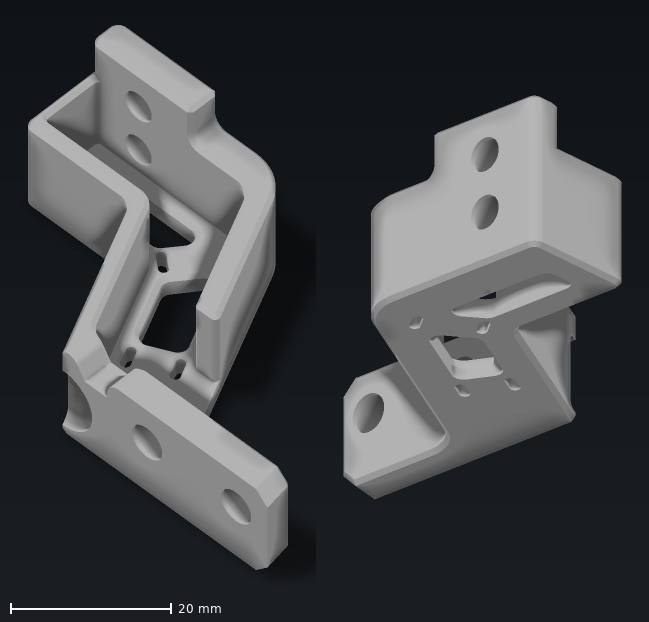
import cadquery as cq
import math

total_length = 66.0
total_depth = 41.0
total_height = 21.0
wall_height = 15.0
floor_thickness = 3.0
edge_chamfer = 0.6

foot_thickness = 5.0
foot_end_draft = 10.0
foot_end_chamfer = 2.0
foot_hole_diameter = 5.3
foot_hole_height = 9.05
foot_hole_spacing = 15.5
foot_first_hole_x = 45.0

notch_left = 34.2
notch_right = 38.1
notch_depth = 3.0
notch_slope_run = 1.85
notch_fillet = 2.0

recess_diameter = 10.0
recess_x = 30.4
recess_height = 6.15
recess_depth = 2.0
recess_fillet = 1.0

leg_angle = 25.8
leg_start = 30.3
leg_width = 16.75
leg_left_wall = 2.5
leg_right_wall = 3.5
right_wall_end = 17.0

arm_depth = 16.95
arm_front_wall = 2.5
arm_left_wall = 1.4
arm_back_wall = 5.0

arm_corner_radius = 1.5
outer_bend_radius = 8.0
inner_bend_radius = 3.5
front_bend_radius = 2.8
front_pocket_bend_radius = 3.5
gusset_radius = 6.0
pocket_foot_radius = 2.5
pocket_corner_radius = 0.5
wall_end_radius = 0.7

tab_length = 17.5
tab_foot_radius = 1.5
tab_overlap = 2.0
back_hole_diameter = 4.6
back_hole_x = 8.45
back_hole_spacing = 8.0

opening_radius = 1.5
opening_chamfer = 0.65
arm_opening_left = 4.35
arm_opening_front = 28.65
arm_opening_back = 33.9
arm_opening_front_right = 18.7
arm_opening_back_right = 22.8
leg_opening_left = 4.6
leg_opening_right = 11.15
leg_opening_start = 15.0
leg_opening_left_end = 25.6
leg_opening_right_end = 29.0

slot_width = 1.4
slot_length = 3.55
slot_chamfer = 0.3
leg_slot_position = 12.1
bend_slot_angle = -38.0
bend_slots = [(26.35, 34.0), (21.05, 27.3)]

pick_margin = 0.05

slant = math.tan(math.radians(leg_angle))
leg_cos = math.cos(math.radians(leg_angle))
arm_front = total_depth - arm_depth
pocket_front = arm_front + arm_front_wall
pocket_back = total_depth - arm_back_wall


def leg_x(offset, y):
    """X at depth y on the line parallel to the leg, offset across it from its outer left face."""
    return leg_start + offset / leg_cos - y * slant


def round_corner(solid, corner, radius):
    """Fillet the vertical edge that stands at the given plan point."""
    x, y = corner
    probe = cq.selectors.BoxSelector(
        (x - pick_margin, y - pick_margin, 0), (x + pick_margin, y + pick_margin, total_height)
    )
    return solid.edges("|Z").edges(probe).fillet(radius)


def make_outer_block():
    front_bend = (leg_x(0, arm_front), arm_front)
    back_bend = (leg_x(leg_width, total_depth), total_depth)
    gusset = (leg_x(leg_width, foot_thickness), foot_thickness)
    foot_end = total_length - foot_thickness * math.tan(math.radians(foot_end_draft))
    outline = [
        (leg_start, 0),
        (total_length, 0),
        (foot_end, foot_thickness),
        gusset,
        back_bend,
        (0, total_depth),
        (0, arm_front),
        front_bend,
    ]
    block = cq.Workplane("XY").polyline(outline).close().extrude(wall_height)
    block = round_corner(block, gusset, gusset_radius)
    block = round_corner(block, back_bend, outer_bend_radius)
    block = round_corner(block, front_bend, front_bend_radius)
    for y in (arm_front, total_depth):
        block = round_corner(block, (0, y), arm_corner_radius)
    return block


def make_pocket():
    """Space above the floor, open to the right between the foot and the end of the right wall."""
    inner_face = leg_width - leg_right_wall
    front_bend = (leg_x(leg_left_wall, pocket_front), pocket_front)
    foot_corner = (leg_x(leg_left_wall, foot_thickness), foot_thickness)
    wall_end = (leg_x(inner_face, right_wall_end), right_wall_end)
    back_bend = (leg_x(inner_face, pocket_back), pocket_back)
    outline = [
        (arm_left_wall, pocket_front),
        front_bend,
        foot_corner,
        (total_length, foot_thickness),
        (total_length, right_wall_end),
        wall_end,
        back_bend,
        (arm_left_wall, pocket_back),
    ]
    pocket = (
        cq.Workplane("XY")
        .workplane(offset=floor_thickness)
        .polyline(outline)
        .close()
        .extrude(wall_height)
    )
    pocket = round_corner(pocket, front_bend, front_pocket_bend_radius)
    pocket = round_corner(pocket, foot_corner, pocket_foot_radius)
    pocket = round_corner(pocket, wall_end, wall_end_radius)
    pocket = round_corner(pocket, back_bend, inner_bend_radius)
    for y in (pocket_front, pocket_back):
        pocket = round_corner(pocket, (arm_left_wall, y), pocket_corner_radius)
    return pocket


def cut_notch(body):
    """Cut the notch with one sloping side and round the tops of both sides."""
    floor = wall_height - notch_depth
    left_top = notch_left - notch_slope_run
    outline = [
        (notch_left, floor),
        (notch_right, floor),
        (notch_right, wall_height),
        (left_top, wall_height),
    ]
    notch = cq.Workplane("XZ").polyline(outline).close().extrude(-foot_thickness)
    body = body.cut(notch)
    for x in (left_top, notch_right):
        rim = cq.selectors.NearestToPointSelector((x, foot_thickness / 2, wall_height))
        body = body.edges("|Y").edges(rim).fillet(notch_fillet)
    return body


def chamfer_foot_end(body):
    for z in (0, wall_height):
        end = cq.selectors.NearestToPointSelector((total_length, foot_thickness / 2, z))
        body = body.edges(end).chamfer(foot_end_chamfer)
    return body


def bevel_edges(body):
    """Break the top and bottom rims and the back edges of the foot, leaving the front face sharp."""
    near_y = foot_thickness - pick_margin
    far_y = total_depth + pick_margin
    top_start = wall_height - notch_depth - pick_margin
    bottom_end = foot_end_chamfer / 2 + pick_margin
    foot_end_start = foot_first_hole_x + foot_hole_spacing

    top_rim = cq.selectors.BoxSelector((-pick_margin, near_y, top_start), (total_length, far_y, total_height))
    bottom_rim = cq.selectors.BoxSelector((-pick_margin, near_y, -pick_margin), (total_length, far_y, bottom_end))
    foot_end = cq.selectors.BoxSelector(
        (foot_end_start, near_y, 0), (total_length, foot_thickness + pick_margin, wall_height)
    )
    return body.edges(top_rim + bottom_rim + foot_end).chamfer(edge_chamfer)


def make_tab():
    """Raised tab with a concave foot; its lower part overlaps the back wall."""
    tab_foot = tab_length + tab_foot_radius
    bottom = wall_height - tab_overlap
    tab = (
        cq.Workplane("XZ", origin=(0, pocket_back, 0))
        .moveTo(0, bottom)
        .lineTo(tab_foot, bottom)
        .lineTo(tab_foot, wall_height)
        .radiusArc((tab_length, wall_height + tab_foot_radius), tab_foot_radius)
        .lineTo(tab_length, total_height)
        .lineTo(0, total_height)
        .close()
        .extrude(-arm_back_wall)
    )
    tab = tab.edges("|Z and <X").fillet(arm_corner_radius)
    far_y = total_depth + pick_margin
    top_edges = cq.selectors.BoxSelector(
        (-pick_margin, 0, total_height - pick_margin), (tab_foot, far_y, total_height + pick_margin)
    )
    end_edges = cq.selectors.BoxSelector(
        (tab_length - pick_margin, 0, wall_height), (tab_foot, far_y, total_height)
    )
    across = cq.selectors.ParallelDirSelector(cq.Vector(0, 1, 0))
    tab = tab.edges(top_edges + (end_edges - across)).chamfer(edge_chamfer)
    return tab


def cut_foot_holes(body):
    second_hole_x = foot_first_hole_x + foot_hole_spacing
    centers = [(foot_first_hole_x, foot_hole_height), (second_hole_x, foot_hole_height)]
    holes = cq.Workplane("XZ").pushPoints(centers).circle(foot_hole_diameter / 2).extrude(-foot_thickness)
    return body.cut(holes)


def cut_back_holes(body):
    centers = [(back_hole_x, wall_height), (back_hole_x, wall_height - back_hole_spacing)]
    holes = (
        cq.Workplane("XZ", origin=(0, pocket_back, 0))
        .pushPoints(centers)
        .circle(back_hole_diameter / 2)
        .extrude(-arm_back_wall)
    )
    return body.cut(holes)


def cut_recess(body):
    recess = (
        cq.Workplane("XZ")
        .center(recess_x, recess_height)
        .circle(recess_diameter / 2)
        .extrude(-recess_depth)
        .faces(">Y")
        .edges()
        .fillet(recess_fillet)
    )
    return body.cut(recess)


def make_opening(outline):
    """Rounded prism through the floor, standing on the plane that holds the outline."""
    return outline.close().extrude(-floor_thickness).edges("|Z").fillet(opening_radius)


def add_bevel(prism, bevel):
    """Widen the top of a cutting prism with a 45 degree bevel."""
    flare = prism.faces(">Z").wires().toPending().offset2D(bevel).extrude(-bevel, combine=False, taper=45)
    return prism.union(flare)


def cut_floor_openings(body):
    """Cut the two large windows and the four slots, all bevelled at the floor surface."""
    floor = cq.Workplane("XY", origin=(0, 0, floor_thickness))
    leg_plane = cq.Plane(
        origin=(leg_start, 0, floor_thickness),
        xDir=(leg_cos, math.sin(math.radians(leg_angle)), 0),
        normal=(0, 0, 1),
    )
    leg_floor = cq.Workplane(leg_plane)

    arm_opening = [
        (arm_opening_left, arm_opening_front),
        (arm_opening_front_right, arm_opening_front),
        (arm_opening_back_right, arm_opening_back),
        (arm_opening_left, arm_opening_back),
    ]
    leg_opening = [
        (leg_opening_left, leg_opening_start),
        (leg_opening_right, leg_opening_start),
        (leg_opening_right, leg_opening_right_end),
        (leg_opening_left, leg_opening_left_end),
    ]
    for plane, outline in ((floor, arm_opening), (leg_floor, leg_opening)):
        opening = make_opening(plane.polyline(outline))
        body = body.cut(add_bevel(opening, opening_chamfer))

    leg_slots = [(leg_opening_left, leg_slot_position), (leg_opening_right, leg_slot_position)]
    for plane, centers, angle in ((floor, bend_slots, bend_slot_angle), (leg_floor, leg_slots, 90)):
        for center in centers:
            slot = plane.center(*center).slot2D(slot_length, slot_width, angle).extrude(-floor_thickness)
            body = body.cut(add_bevel(slot, slot_chamfer))
    return body


body = make_outer_block().cut(make_pocket())
right_wall_corner = (leg_x(leg_width, right_wall_end), right_wall_end)
body = round_corner(body, right_wall_corner, wall_end_radius)
body = chamfer_foot_end(cut_notch(body))
body = bevel_edges(body)
body = body.union(make_tab())
body = cut_foot_holes(body)
body = cut_back_holes(body)
body = cut_recess(body)
result = cut_floor_openings(body)